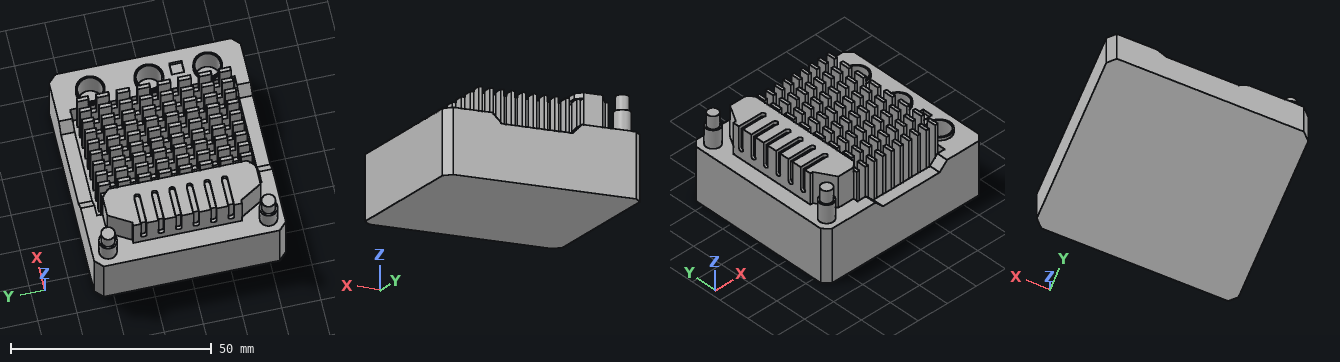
import cadquery as cq

length = 54.5
width = 49.0
total_height = 27.4
block_height = 17.45
corner_chamfer = 2.0

channel_depth = 2.55
channel_floor_left = -7.75
channel_floor_right = 11.75

pocket_left = -13.15
pocket_length = 30.0
pocket_width = 42.0
pocket_depth = 6.55

fin_count = 10
fin_pitch = 3.0
fin_thickness = 1.0
fin_width = 39.25
fin_top = 25.4
gap_count = 7
gap_pitch = 5.25
gap_width = 2.05
gap_floor = block_height

connector_left = -22.55
connector_step = 0.85
connector_shoulder = -18.35
connector_face_width = 27.8
connector_width = 39.15
lip_overhang = 1.8
lip_thickness = 1.45

groove_count = 6
groove_pitch = 4.45
groove_width = 1.45
groove_end = -14.3
top_groove_depth = 1.15
face_groove_depth = 0.85
face_groove_bottom = 19.9

post_x = -23.25
post_y = 20.5
post_base_diameter = 4.5
post_tip_diameter = 3.5
post_step_height = 23.3

bushing_x = 20.75
bushing_pitch = 15.0
bushing_count = 3
bushing_diameter = 7.3
bushing_bore = 6.5
bushing_rise = 1.0
bore_depth = 6.55

recess_x = 22.3
recess_y = -7.45
recess_size = 3.15
recess_depth = 1.1

pocket_floor = block_height - pocket_depth
bushing_top = block_height + bushing_rise
pocket_center_x = pocket_left + pocket_length / 2


def centered_row(count, pitch):
    """Positions of equally spaced items, centred on zero."""
    return [(i - (count - 1) / 2) * pitch for i in range(count)]


def box(x_min, x_max, y_size, z_min, z_max, y_center=0.0):
    """Block between X and Z limits, centred in Y on y_center."""
    return (
        cq.Workplane("XY", origin=(0, y_center, z_min))
        .center((x_min + x_max) / 2, 0)
        .rect(x_max - x_min, y_size)
        .extrude(z_max - z_min)
    )


def cylinder(x, y, diameter, z_min, z_max):
    """Upright cylinder between two heights."""
    return cq.Workplane("XY", origin=(x, y, z_min)).circle(diameter / 2).extrude(z_max - z_min)


def make_block():
    block = box(-length / 2, length / 2, width, 0, block_height).edges("|Z").chamfer(corner_chamfer)
    channel = (
        cq.Workplane("XZ")
        .moveTo(channel_floor_left - channel_depth, block_height)
        .lineTo(channel_floor_left, block_height - channel_depth)
        .lineTo(channel_floor_right, block_height - channel_depth)
        .lineTo(channel_floor_right + channel_depth, block_height)
        .close()
        .extrude(width / 2, both=True)
    )
    pocket = box(pocket_left, pocket_left + pocket_length, pocket_width, pocket_floor, block_height)
    recess = box(
        recess_x - recess_size / 2, recess_x + recess_size / 2, recess_size,
        block_height - recess_depth, block_height, recess_y,
    )
    return block.cut(channel).cut(pocket).cut(recess)


def make_fins():
    fins = cq.Workplane("XY")
    for offset in centered_row(fin_count, fin_pitch):
        x = pocket_center_x + offset
        fins = fins.add(
            box(x - fin_thickness / 2, x + fin_thickness / 2, fin_width, pocket_floor, fin_top)
        )
    fins = fins.combine()
    for y in centered_row(gap_count, gap_pitch):
        fins = fins.cut(
            box(pocket_left, pocket_left + pocket_length, gap_width, gap_floor, fin_top, y)
        )
    return fins


def make_connector():
    half_face = connector_face_width / 2
    half_width = connector_width / 2
    body = (
        cq.Workplane("XY", origin=(0, 0, block_height))
        .moveTo(pocket_left, half_width)
        .lineTo(connector_shoulder, half_width)
        .lineTo(connector_left + connector_step, half_face)
        .lineTo(connector_left, half_face)
        .lineTo(connector_left, -half_face)
        .lineTo(connector_left + connector_step, -half_face)
        .lineTo(connector_shoulder, -half_width)
        .lineTo(pocket_left, -half_width)
        .close()
        .extrude(total_height - block_height)
    )
    lip_end = pocket_left + lip_overhang
    lip_half_width = half_width - lip_overhang
    lip = (
        cq.Workplane("XY", origin=(0, 0, total_height - lip_thickness))
        .moveTo(pocket_left, half_width)
        .lineTo(lip_end, lip_half_width)
        .lineTo(lip_end, -lip_half_width)
        .lineTo(pocket_left, -half_width)
        .close()
        .extrude(lip_thickness)
    )
    connector = body.union(lip)
    for y in centered_row(groove_count, groove_pitch):
        connector = connector.cut(make_contact_groove(y))
    return connector


def make_contact_groove(y):
    """Top and face grooves of one contact, both with a rounded end."""
    radius = groove_width / 2
    floor = total_height - top_groove_depth
    top_end_center = groove_end - radius
    face_end_center = face_groove_bottom + radius
    top = box(connector_left, top_end_center, groove_width, floor, total_height, y)
    top_end = cylinder(top_end_center, y, groove_width, floor, total_height)
    face_back = connector_left + face_groove_depth
    face = box(connector_left, face_back, groove_width, face_end_center, total_height, y)
    face_end = (
        cq.Workplane("YZ", origin=(connector_left, y, face_end_center))
        .circle(radius)
        .extrude(face_groove_depth)
    )
    return top.union(top_end).union(face).union(face_end)


def make_post(y):
    base = cylinder(post_x, y, post_base_diameter, block_height, post_step_height)
    tip = cylinder(post_x, y, post_tip_diameter, post_step_height, total_height)
    return base.union(tip)


result = make_block().union(make_fins()).union(make_connector())

for post_position in (-post_y, post_y):
    result = result.union(make_post(post_position))

for bushing_y in centered_row(bushing_count, bushing_pitch):
    result = result.union(cylinder(bushing_x, bushing_y, bushing_diameter, block_height, bushing_top))
    result = result.cut(cylinder(bushing_x, bushing_y, bushing_bore, block_height - bore_depth, bushing_top))